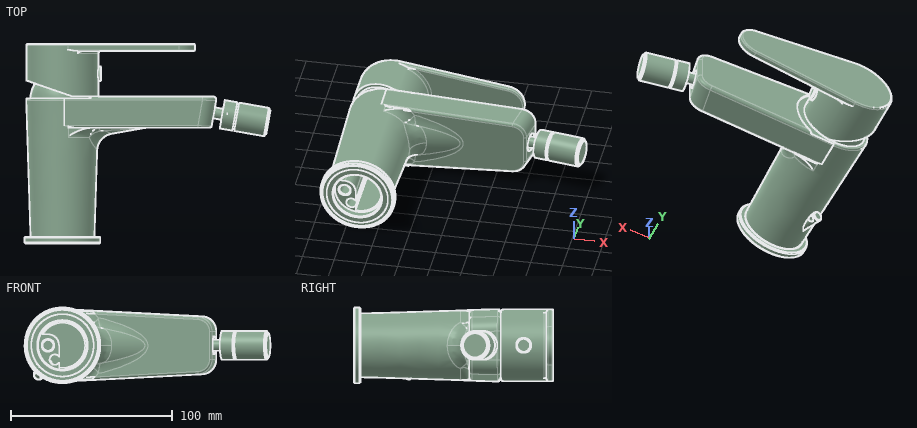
import cadquery as cq
import math


base_radius = 23.52
base_height = 4.4
base_bore_radius = 19.3
base_edge = 0.8
groove_outer_radius = 22.4
groove_width = 0.5
groove_depth = 0.5

column_bottom_radius = 19.87
column_top_radius = 22.5
column_top = 90.0
column_edge = 1.0

inlet_mouth_radius = 15.0
inlet_mouth_depth = 5.3
inlet_mouth_chamfer = 0.6
inlet_radius = 14.0
inlet_depth = 45.7
port_x = -9.0
port_radius = 3.3
port_chamfer = 0.6
port_boss_radius = 6.9
notch_x = -4.7
notch_z = -8.8
notch_radius = 3.2
shelf_edge_x = port_x + port_boss_radius

spout_bottom = 71.7
spout_top = 91.2
spout_tip_x = 95.6
spout_taper = 3
spout_corner = 9.1
spout_top_edge = 2.1
spout_bottom_edge = 1.5
tilt = 10
handle_clearance_radius = 27.1
root_fillet = 6.1
root_inset = 0.2

belly_radius = 20.7
belly_tip_x = 51.8
belly_top = 74.6
belly_length = 60.9
belly_fillet = 10.7

dome_radius = 20.1
dome_center_y = 88.6
dome_top = 106.6

handle_radius = 22.4
handle_bottom = 91.2
handle_top = 123.6
handle_back_bottom = 101.0
handle_slope = 19
handle_bore_radius = 20.3
lever_thickness = 4.4
lever_tip_radius = 12.0
lever_reach = 82.0
lever_edge = 0.9
lever_fillet = 1.5

button_y = 105.2
button_radius = 4.7
button_seat_x = 21.0
button_face_x = 24.0
button_chamfer = 0.8

outlet_x = 98.8
outlet_y = 80.1
stem_radius = 3.5
stem_embed = 9.1
stem_seat = 3
socket_radius = 5.6
socket_start = -7.6
nut_radius = 9.0
nut_length = 7.9
neck_radius = 7.9
neck_length = 1.2
barrel_length = 19.2
barrel_chamfer = 0.6
insert_radius = 7.5
insert_depth = 3
insert_proud = 0.8
barrel_start = nut_length + neck_length
barrel_end = barrel_start + barrel_length

lug_radius = 3
lug_length = 21.3
lug_azimuth = 51
lug_lean = 25
lug_end_offset = 23.9
lug_end_y = 35.6
lug_hole_radius = 1.8
lug_hole_setback = 3.7
lug_chamfer = 0.5


def plan(y):
    """Workplane facing +Y at height y, with local x along X and local y along -Z."""
    return cq.Workplane("XZ", origin=(0, y, 0)).transformed(rotate=(180, 0, 0))


def disc(radius, y_from, y_to, x=0, z=0):
    """Cylinder along Y."""
    return cq.Workplane(cq.Solid.makeCylinder(
        radius, y_to - y_from, cq.Vector(x, y_from, z), cq.Vector(0, 1, 0)))


def bevel(radius, chamfer, y, x=0):
    """Cone that widens a hole of the given radius at its lower rim."""
    return cq.Workplane(cq.Solid.makeCone(
        radius + chamfer, radius, chamfer, cq.Vector(x, y, 0), cq.Vector(0, 1, 0)))


def ring_fillet(wall_radius, ceiling, radius):
    """Concave fillet around a cylinder along Y, under a flat ceiling."""
    mid = radius * (1 - math.sqrt(0.5))
    return (
        cq.Workplane("XY")
        .moveTo(wall_radius - radius, ceiling)
        .lineTo(wall_radius - radius, ceiling - radius)
        .lineTo(wall_radius, ceiling - radius)
        .threePointArc((wall_radius + mid, ceiling - mid), (wall_radius + radius, ceiling))
        .close()
        .revolve(360, (0, 0, 0), (0, 1, 0))
    )


outlet_axis = cq.Vector(math.cos(math.radians(tilt)), -math.sin(math.radians(tilt)), 0)
outlet_start = cq.Vector(outlet_x, outlet_y, 0)


def outlet_disc(radius, start, end):
    """Cylinder along the outlet axis between two distances from the nut's inner face."""
    return cq.Workplane(cq.Solid.makeCylinder(
        radius, end - start, outlet_start + outlet_axis * start, outlet_axis))


lug_outward = cq.Vector(-math.cos(math.radians(lug_azimuth)), 0, -math.sin(math.radians(lug_azimuth)))
lug_axis = (cq.Vector(0, 1, 0) * math.cos(math.radians(lug_lean))
            + lug_outward * math.sin(math.radians(lug_lean)))
lug_end = lug_outward * lug_end_offset + cq.Vector(0, lug_end_y, 0)


def lug_blank():
    return cq.Workplane(cq.Solid.makeCylinder(
        lug_radius, lug_length, lug_end - lug_axis * lug_length, lug_axis))


def button_blank():
    return cq.Workplane(cq.Solid.makeCylinder(
        button_radius, button_face_x - button_seat_x,
        cq.Vector(button_seat_x, button_y, 0), cq.Vector(1, 0, 0)))


def make_base_ring():
    """Flat ring with bevelled rims and a fine groove in its underside."""
    ring = disc(base_radius, 0, base_height).edges().chamfer(base_edge)
    groove = disc(groove_outer_radius, 0, groove_depth).cut(
        disc(groove_outer_radius - groove_width, 0, groove_depth))
    return ring.cut(groove).cut(disc(base_bore_radius, 0, base_height))


def make_shaft():
    """Tapered column with a spigot that fills the base ring."""
    return (
        cq.Workplane("XY")
        .lineTo(base_bore_radius, 0)
        .lineTo(base_bore_radius, base_height)
        .lineTo(column_bottom_radius, base_height)
        .lineTo(column_top_radius, column_top)
        .lineTo(0, column_top)
        .close()
        .revolve(360, (0, 0, 0), (0, 1, 0))
        .faces(">Y")
        .edges()
        .fillet(column_edge)
    )


def column_radius(y):
    taper = (column_top_radius - column_bottom_radius) / (column_top - base_height)
    return column_bottom_radius + taper * (y - base_height)


def make_arm(bottom, top, inset=0):
    """Tapered arm of the spout, tangent to the column and drafted like it, with a slanted tip."""
    root_radius = column_radius(bottom) - inset
    taper = math.radians(spout_taper)
    back_z = root_radius / math.cos(taper) + spout_tip_x * math.tan(taper)
    tip_z = root_radius / math.cos(taper) - spout_tip_x * math.tan(taper)
    draft = math.degrees(math.atan2(column_radius(top) - column_radius(bottom), top - bottom))
    arm = (
        plan(bottom)
        .polyline([(-spout_tip_x, -back_z), (spout_tip_x, -tip_z), (spout_tip_x, tip_z), (-spout_tip_x, back_z)])
        .close()
        .extrude(top - bottom, taper=-draft)
    )
    before_root = cq.Workplane("XY").box(
        4 * spout_tip_x, 4 * spout_tip_x, 4 * spout_tip_x
    ).translate((root_radius * math.sin(taper) - 2 * spout_tip_x, 0, 0))
    lean = math.tan(math.radians(tilt))
    beyond_tip = (
        cq.Workplane("XY")
        .moveTo(spout_tip_x, spout_top)
        .lineTo(spout_tip_x - lean * (spout_top - bottom), bottom)
        .lineTo(2 * spout_tip_x, bottom)
        .lineTo(2 * spout_tip_x, spout_top)
        .close()
        .extrude(column_top_radius, both=True)
    )
    return arm.cut(beyond_tip).cut(before_root)


def make_belly():
    """Round bulge under the spout that rises towards its tip, kept below belly_top."""
    lowest = cq.Workplane("XY", origin=(belly_tip_x, spout_bottom, 0)).transformed(rotate=(0, 0, tilt))
    cylinder = (
        lowest.transformed(offset=(-belly_length, belly_radius, 0), rotate=(0, 90, 0))
        .circle(belly_radius)
        .extrude(belly_length + belly_radius)
    )
    keep = cq.Workplane("XY").box(
        belly_tip_x + spout_corner, belly_top, 2 * belly_radius, centered=(False, False, True))
    return cylinder.intersect(keep)


def make_spout():
    spout = make_arm(spout_bottom, spout_top)
    tip_corners = cq.selectors.BoxSelector(
        (spout_tip_x - spout_corner, spout_bottom, -column_top_radius),
        (spout_tip_x, spout_top, column_top_radius))
    spout = spout.edges(tip_corners).edges("not(|Z)").fillet(spout_corner)
    spout = spout.faces("<Y").edges("not(<X)").fillet(spout_bottom_edge)
    return spout.faces(">Y").edges("not(<X)").fillet(spout_top_edge)


def make_spout_and_shaft():
    """Column and spout in one, with the spout's root and belly blended into the column."""
    foot = spout_bottom - root_fillet
    root = ring_fillet(column_radius(foot), spout_bottom, root_fillet).intersect(
        make_arm(foot, spout_bottom, root_inset))
    body = make_shaft().union(make_spout()).union(root).union(make_belly())
    belly_outline = cq.selectors.BoxSelector(
        (column_bottom_radius, foot + 0.8, -4.5), (belly_tip_x, spout_bottom + 0.3, 4.5))
    return body.edges(belly_outline).fillet(belly_fillet)


def make_chamber():
    """Deep part of the inlet: a round bore beside the shelf, opened further by the notch."""
    bore = disc(inlet_radius, inlet_mouth_depth, inlet_depth)
    boss = disc(port_boss_radius, inlet_mouth_depth, inlet_depth, port_x)
    beside_boss = (
        plan(inlet_mouth_depth)
        .moveTo(-inlet_radius, -port_boss_radius)
        .lineTo(port_x, -port_boss_radius)
        .lineTo(port_x, 0)
        .lineTo(shelf_edge_x, 0)
        .lineTo(shelf_edge_x, inlet_radius)
        .lineTo(-inlet_radius, inlet_radius)
        .close()
        .extrude(inlet_depth - inlet_mouth_depth)
    )
    notch = disc(notch_radius, inlet_mouth_depth, inlet_depth, notch_x, notch_z)
    return bore.cut(boss.union(beside_boss).cut(notch))


def make_body():
    """Column and spout with the handle clearance, the inlet, the outlet socket and the lug's hole."""
    body = make_spout_and_shaft()
    body = body.cut(disc(handle_clearance_radius, column_top, spout_top + 1.5))
    body = body.cut(disc(inlet_mouth_radius, 0, inlet_mouth_depth))
    body = body.cut(bevel(inlet_mouth_radius, inlet_mouth_chamfer, 0))
    body = body.cut(make_chamber())
    body = body.cut(disc(port_radius, inlet_mouth_depth, inlet_depth, port_x))
    body = body.cut(bevel(port_radius, port_chamfer, inlet_mouth_depth, port_x))
    body = body.cut(outlet_disc(socket_radius, socket_start, 0))
    body = body.cut(outlet_disc(stem_radius, -stem_embed, 0))
    return body.cut(lug_blank())


def make_dome():
    ball = cq.Workplane("XY").sphere(dome_radius).translate((0, dome_center_y, 0))
    return ball.intersect(disc(dome_radius, column_top, dome_top))


def lever_prism(y_from, y_to, inset=0):
    """Plan of the lever: the tapered hull of the handle's circle and a smaller tip circle."""
    tip_x = lever_reach - lever_tip_radius
    lean = math.asin((handle_radius - lever_tip_radius) / tip_x)
    root_radius = handle_radius - inset
    tip_radius = lever_tip_radius - inset
    root_x = root_radius * math.sin(lean)
    root_z = root_radius * math.cos(lean)
    end_x = tip_x + tip_radius * math.sin(lean)
    end_z = tip_radius * math.cos(lean)
    return (
        plan(y_from)
        .moveTo(root_x, -root_z)
        .lineTo(end_x, -end_z)
        .threePointArc((tip_x + tip_radius, 0), (end_x, end_z))
        .lineTo(root_x, root_z)
        .threePointArc((-root_radius, 0), (root_x, -root_z))
        .close()
        .extrude(y_to - y_from)
    )


def make_handle():
    """Hollow drum with a slanted lower rim at the back and a flat lever on top."""
    lever_bottom = handle_top - lever_thickness
    lever = lever_prism(lever_bottom, handle_top)
    lever = lever.faces(">Y or <Y").edges().fillet(lever_edge)
    collar = ring_fillet(handle_radius, lever_bottom, lever_fillet).intersect(
        lever_prism(lever_bottom - lever_fillet, lever_bottom, lever_edge))
    drum = disc(handle_radius, handle_bottom, handle_top - lever_edge)
    bore = disc(handle_bore_radius, handle_bottom, dome_top)
    run = (handle_back_bottom - handle_bottom) / math.tan(math.radians(handle_slope))
    slope_cut = (
        cq.Workplane("XY")
        .moveTo(-handle_radius, handle_back_bottom)
        .lineTo(run - handle_radius, handle_bottom)
        .lineTo(-handle_radius, handle_bottom)
        .close()
        .extrude(handle_radius, both=True)
    )
    return drum.union(lever).union(collar).cut(bore).cut(slope_cut).cut(button_blank())


def make_button():
    return button_blank().faces(">X").edges().chamfer(button_chamfer)


def make_stem():
    return outlet_disc(stem_radius, -stem_embed, stem_seat)


def make_nut():
    nut = outlet_disc(nut_radius, 0, nut_length).union(outlet_disc(neck_radius, nut_length, barrel_start))
    return nut.cut(outlet_disc(stem_radius, 0, stem_seat))


def make_barrel():
    barrel = outlet_disc(nut_radius, barrel_start, barrel_end)
    barrel = barrel.faces(">X").edges().chamfer(barrel_chamfer)
    return barrel.cut(outlet_disc(insert_radius, barrel_end - insert_depth, barrel_end))


def make_insert():
    return outlet_disc(insert_radius, barrel_end - insert_depth, barrel_end + insert_proud)


def make_lug():
    """Leaning round lug with a cross hole near its free end."""
    center = lug_end - lug_axis * lug_hole_setback
    across = cq.Vector(0, 1, 0).cross(lug_outward)
    hole = cq.Workplane(cq.Solid.makeCylinder(
        lug_hole_radius, 4 * lug_radius, center - across * 2 * lug_radius, across))
    return lug_blank().faces(">Y").edges().chamfer(lug_chamfer).cut(hole)


base_ring = make_base_ring()
body = make_body()
dome = make_dome()
handle = make_handle()
button = make_button()
stem = make_stem()
nut = make_nut()
barrel = make_barrel()
insert = make_insert()
lug = make_lug()

result = cq.Compound.makeCompound([
    base_ring.val(),
    body.val(),
    dome.val(),
    handle.val(),
    button.val(),
    stem.val(),
    nut.val(),
    barrel.val(),
    insert.val(),
    lug.val(),
])